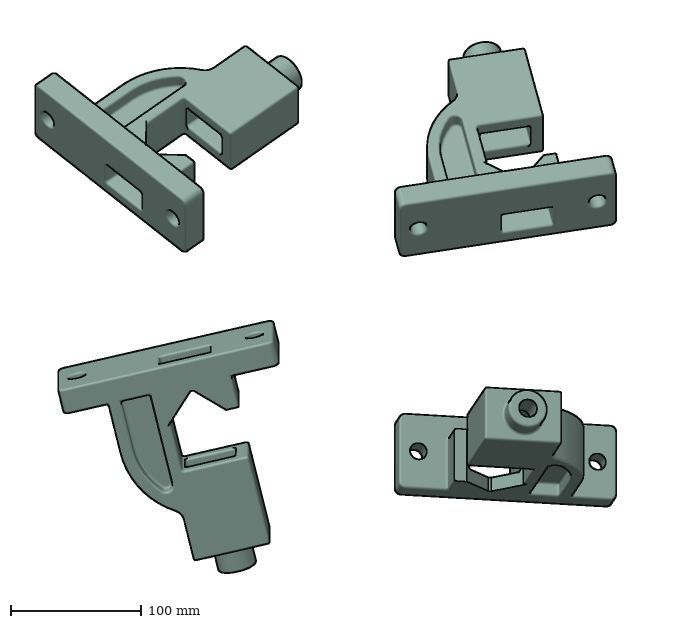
import cadquery as cq
import math


edge_radius = 2.0

selection_margin = 0.2

plate_length = 170.0
plate_height = 60.0
plate_thickness = 20.0
root_y = plate_thickness / 2
plate_corner_radius = 5.0
bolt_spacing = 140
bolt_hole_diameter = 13.0

screw_x = 15.0
screw_hole_diameter = 14
boss_diameter = 30.0
total_length = 175

body_height = 42
mid_z = body_height / 2
head_width = 60.0
head_start_y = 85.0
head_end_y = 157.0
head_left_x = screw_x - head_width / 2
head_right_x = screw_x + head_width / 2
back_radius = 65.0
back_center_y = 60.0
back_x = screw_x - back_radius
blend_radius = 10.0

seat_half_width = 22.0
seat_top_y = 45.0
seat_floor_y = 24.2
seat_floor_half_width = seat_half_width - (seat_top_y - seat_floor_y)
throat_x = screw_x - seat_half_width
toe_width = 10.0
toe_x = screw_x + seat_half_width + toe_width

back_rib_thickness = 10.0
web_thickness = 20.0
throat_rib_thickness = 10.0
recess_right_x = throat_x - throat_rib_thickness
recess_end_radius = 5.0
recess_depth = (body_height - web_thickness) / 2

passage_width = 40.0
passage_height = 20.0
head_end_wall = 10.0


def point_at(center, radius, direction):
    """Point at a distance from a center along the direction of a vector."""
    length = math.hypot(*direction)
    return (center[0] + radius * direction[0] / length, center[1] + radius * direction[1] / length)


def arc_middle(center, start, end):
    """Middle point of the shorter arc between two points at equal distance from a center."""
    radius = math.hypot(start[0] - center[0], start[1] - center[1])
    bisector = (start[0] + end[0] - 2 * center[0], start[1] + end[1] - 2 * center[1])
    return point_at(center, radius, bisector)


def block_along_y(width, height, x, z, start_y, end_y):
    """Box with rounded long edges, running along Y."""
    length = end_y - start_y
    block = cq.Workplane("XY").box(width, length, height).edges("|Y").fillet(edge_radius)
    return block.translate((x, (start_y + end_y) / 2, z))


def rod_along_y(diameter, x, z, start_y, end_y):
    """Cylinder running along Y."""
    plane = cq.Plane(origin=(x, start_y, z), xDir=(1, 0, 0), normal=(0, 1, 0))
    return cq.Workplane(plane).circle(diameter / 2).extrude(end_y - start_y)


def rim_selector(x, y, z, width, height):
    """Selector for the edges of an outline that lies across Y at one place."""
    half_x = width / 2 + selection_margin
    half_z = height / 2 + selection_margin
    return cq.selectors.BoxSelector(
        (x - half_x, y - selection_margin, z - half_z),
        (x + half_x, y + selection_margin, z + half_z),
    )


def make_plate():
    plate = cq.Workplane("XY").box(plate_length, plate_thickness, plate_height)
    plate = plate.translate((0, plate_thickness / 2, plate_height / 2))
    plate = plate.edges("|Y").fillet(plate_corner_radius)
    return plate.faces("<Y or >Y").edges().fillet(edge_radius)


def make_arm_and_head():
    back_center = (screw_x, back_center_y)
    blend_x = head_left_x - blend_radius
    blend_rise = math.sqrt((back_radius + blend_radius) ** 2 - (screw_x - blend_x) ** 2)
    blend_center = (blend_x, back_center_y + blend_rise)
    back_start = (back_x, back_center_y)
    back_end = point_at(back_center, back_radius, (blend_x - screw_x, blend_rise))
    blend_end = (head_left_x, blend_center[1])
    body = (
        cq.Workplane("XY")
        .moveTo(back_x, root_y)
        .lineTo(*back_start)
        .threePointArc(arc_middle(back_center, back_start, back_end), back_end)
        .threePointArc(arc_middle(blend_center, back_end, blend_end), blend_end)
        .lineTo(head_left_x, head_end_y)
        .lineTo(head_right_x, head_end_y)
        .lineTo(head_right_x, head_start_y)
        .lineTo(throat_x, head_start_y)
        .lineTo(throat_x, root_y)
        .close()
        .extrude(body_height)
    )
    rounded_corners = [
        (head_left_x, head_end_y),
        (head_right_x, head_end_y),
        (head_right_x, head_start_y),
        (throat_x, head_start_y),
    ]
    for x, y in rounded_corners:
        body = body.edges(cq.selectors.NearestToPointSelector((x, y, mid_z))).fillet(edge_radius)
    return body


def make_seat():
    overlap_x = throat_x - edge_radius
    overlap_y = seat_top_y + edge_radius
    seat = (
        cq.Workplane("XY")
        .polyline(
            [
                (overlap_x, root_y),
                (overlap_x, overlap_y),
                (screw_x - seat_floor_half_width, seat_floor_y),
                (screw_x + seat_floor_half_width, seat_floor_y),
                (screw_x + seat_half_width, seat_top_y),
                (toe_x, seat_top_y),
                (toe_x, root_y),
            ]
        )
        .close()
        .extrude(body_height)
    )
    return seat.faces(">X").edges("|Y").fillet(edge_radius)


def make_recess():
    """Pocket cutter for the upper face, rounded around its floor."""
    wall_radius = back_radius - back_rib_thickness
    end_x = recess_right_x - recess_end_radius
    end_rise = math.sqrt((wall_radius - recess_end_radius) ** 2 - (end_x - screw_x) ** 2)
    end_center = (end_x, back_center_y + end_rise)
    back_center = (screw_x, back_center_y)
    arc_start = (screw_x - wall_radius, back_center_y)
    arc_end = point_at(back_center, wall_radius, (end_x - screw_x, end_rise))
    end_top = point_at(end_center, recess_end_radius, (0, 1))
    pocket = (
        cq.Workplane("XY")
        .workplane(offset=body_height - recess_depth)
        .moveTo(screw_x - wall_radius, root_y)
        .lineTo(*arc_start)
        .threePointArc(arc_middle(back_center, arc_start, arc_end), arc_end)
        .threePointArc(end_top, (recess_right_x, end_center[1]))
        .lineTo(recess_right_x, root_y)
        .close()
        .extrude(recess_depth)
    )
    return pocket.faces("<Z").edges("not <Y").fillet(edge_radius)


def make_recessed_body():
    body = make_arm_and_head()
    recess = make_recess()
    for cutter in (recess, recess.mirror("XY", (0, 0, mid_z))):
        body = body.cut(cutter)
    return body.faces("<Z or >Z").edges("not <Y").fillet(edge_radius)


def round_joint(part):
    """Hollow rounding where the clamp stands on the plate, leaving the flush underside alone."""
    joint_edges = cq.selectors.BoxSelector(
        (back_x - selection_margin, plate_thickness - selection_margin, edge_radius),
        (toe_x + selection_margin, plate_thickness + selection_margin, body_height + selection_margin),
    )
    return part.edges(joint_edges).fillet(edge_radius)


def add_boss(part):
    boss = rod_along_y(boss_diameter, screw_x, mid_z, head_end_y, total_length)
    part = part.union(boss.faces(">Y").edges().fillet(edge_radius))
    root = rim_selector(screw_x, head_end_y, mid_z, boss_diameter, boss_diameter)
    return part.edges(root).fillet(edge_radius)


def make_head_pocket():
    """Cutter for the pocket in the head; only its upper and lower mouth edges flare out."""
    end_y = head_end_y - head_end_wall
    wall_start_y = head_start_y + edge_radius
    half_height = passage_height / 2
    lip_sag = edge_radius * (1 - math.sqrt(0.5))
    plane = cq.Plane(origin=(screw_x, 0, mid_z), xDir=(0, 1, 0), normal=(1, 0, 0))
    pocket = (
        cq.Workplane(plane)
        .moveTo(head_start_y, -half_height - edge_radius)
        .lineTo(head_start_y, half_height + edge_radius)
        .threePointArc((head_start_y + lip_sag, half_height + lip_sag), (wall_start_y, half_height))
        .lineTo(end_y, half_height)
        .lineTo(end_y, -half_height)
        .lineTo(wall_start_y, -half_height)
        .threePointArc(
            (head_start_y + lip_sag, -half_height - lip_sag),
            (head_start_y, -half_height - edge_radius),
        )
        .close()
        .extrude(passage_width / 2, both=True)
    )
    corners = pocket.faces("<X or >X").edges("not <Y")
    return corners.add(pocket.edges("|X and >Y")).fillet(edge_radius)


def cut_screw_passage(part):
    """Rectangular window through the plate and seat, pocket in the head, and round screw hole."""
    part = part.cut(block_along_y(passage_width, passage_height, screw_x, mid_z, 0, seat_top_y))
    mouth = rim_selector(screw_x, 0, mid_z, passage_width, passage_height)
    part = part.edges(mouth).fillet(edge_radius)
    part = part.cut(make_head_pocket())
    return part.cut(rod_along_y(screw_hole_diameter, screw_x, mid_z, head_start_y, total_length))


def cut_bolt_holes(part):
    for x in (-bolt_spacing / 2, bolt_spacing / 2):
        z = plate_height / 2
        part = part.cut(rod_along_y(bolt_hole_diameter, x, z, 0, plate_thickness))
        mouth = rim_selector(x, 0, z, bolt_hole_diameter, bolt_hole_diameter)
        part = part.edges(mouth).fillet(edge_radius)
    return part


result = make_recessed_body().union(make_seat()).union(make_plate())
result = round_joint(result)
result = add_boss(result)
result = cut_screw_passage(result)
result = cut_bolt_holes(result).solids()